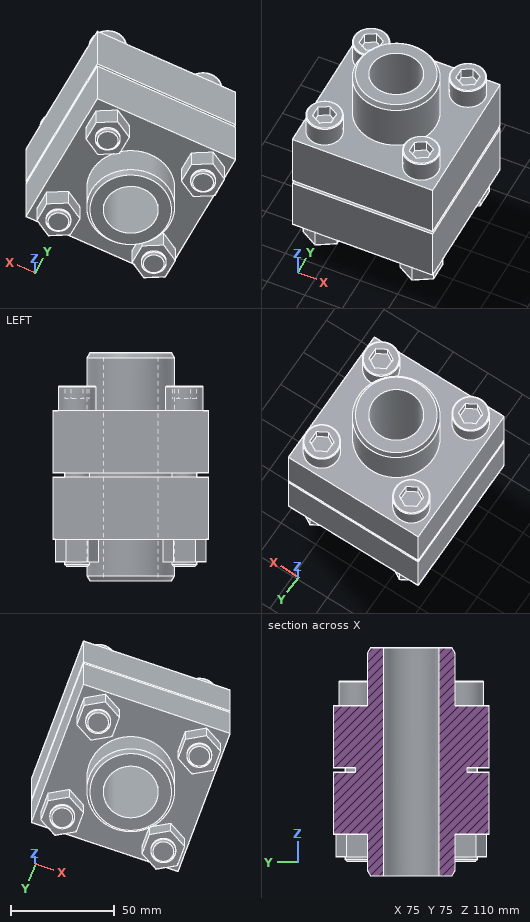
import cadquery as cq

total_height = 110
flange_side = 75.0
flange_thickness = 30.0
flange_gap = 2.0
neck_diameter = 42.4
lower_neck_height = 20.0
neck_chamfer_height = 2.5
neck_chamfer_width = 1.5
bore_diameter = 26.4
gasket_diameter = 54.0

bolt_spacing = 51.7
bolt_diameter = 12.0
bolt_projection = 2.2
bolt_tip_chamfer = 1.0
head_diameter = 18.0
head_height = 11.9
head_chamfer = 0.4
socket_across_flats = 10.0
socket_depth = 6.0
nut_across_flats = 18.0
nut_height = 10.8

flange_inner = flange_gap / 2
flange_outer = flange_inner + flange_thickness
pipe_bottom = -flange_outer - lower_neck_height
pipe_top = pipe_bottom + total_height
nut_bottom = -flange_outer - nut_height
bolt_bottom = nut_bottom - bolt_projection
head_top = flange_outer + head_height


def cylinder(diameter, bottom, top):
    """Cylinder on the Z axis between two levels."""
    return cq.Workplane("XY").workplane(offset=bottom).circle(diameter / 2).extrude(top - bottom)


def hex_prism(across_flats, bottom, top):
    """Hexagonal prism on the Z axis with its flats facing +X and -X."""
    base = cq.Workplane("XY").workplane(offset=bottom)
    return base.polygon(6, across_flats, circumscribed=True).extrude(top - bottom)


def flange(bottom):
    """Square flange block standing on the given level."""
    block = cq.Workplane("XY").workplane(offset=bottom).rect(flange_side, flange_side)
    return block.extrude(flange_thickness)


def pipe():
    """Round necks of both flanges as one bar with bevelled ends."""
    radius = neck_diameter / 2
    end_radius = radius - neck_chamfer_width
    half_section = [
        (0, pipe_bottom),
        (end_radius, pipe_bottom),
        (radius, pipe_bottom + neck_chamfer_height),
        (radius, pipe_top - neck_chamfer_height),
        (end_radius, pipe_top),
        (0, pipe_top),
    ]
    return cq.Workplane("XZ").polyline(half_section).close().revolve(360, (0, 0, 0), (0, 1, 0))


def bolt_with_nut():
    """Socket head bolt with its nut, on the Z axis."""
    shank = cylinder(bolt_diameter, bolt_bottom, flange_outer).faces("<Z").chamfer(bolt_tip_chamfer)
    head = cylinder(head_diameter, flange_outer, head_top).faces(">Z").chamfer(head_chamfer)
    socket = hex_prism(socket_across_flats, head_top - socket_depth, head_top)
    nut = hex_prism(nut_across_flats, nut_bottom, -flange_outer)
    return shank.union(head).union(nut).cut(socket)


body = flange(flange_inner).union(flange(-flange_outer))
body = body.union(cylinder(gasket_diameter, -flange_inner, flange_inner)).union(pipe())
body = body.cut(cylinder(bore_diameter, pipe_bottom, pipe_top))

bolt = bolt_with_nut()
for side_x in (-1, 1):
    for side_y in (-1, 1):
        body = body.union(bolt.translate((side_x * bolt_spacing / 2, side_y * bolt_spacing / 2, 0)))

result = body